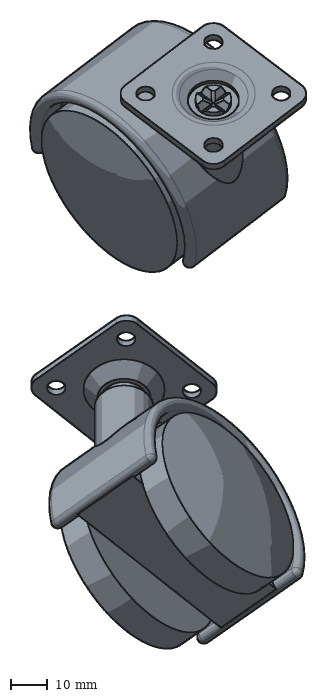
import cadquery as cq


wheel_radius = 26.0
wheel_inner_y = 10.3
wheel_edge_y = 19.0
wheel_outer_y = 23.5

hood_radius = 31.5
hood_wall = 3.65
hood_half_width = wheel_edge_y
hood_bottom_z = -8.6
hood_bottom_rounding = 1.8
web_half_width = wheel_inner_y

swivel_x = 20.95
boss_radius = 8.0
boss_top_z = 33.0
boss_bottom_z = 0.0

plate_side = 38.0
plate_thickness = 2.2
plate_corner_radius = 4.15
plate_top_z = 42.45
screw_hole_diameter = 5.0
screw_hole_spacing = 26.0

dish_slope_top_radius = 10.15
dish_mouth_rounding = 3.0
dish_floor_radius = 6.9
dish_floor_z = 38.75
dish_wall_top_z = 39.75
dish_bottom_radius = 7.3
dish_bottom_z = 36.5

pin_head_radius = 4.85
pin_top_z = 40.25
collar_radius = 6.6
collar_bottom_z = 33.5
collar_bulge = 0.5
stem_radius = 4.2
stem_depth = 21.45

groove_half_width = 1.65
groove_depth = 1.65
pyramid_half_width = 2.85
pyramid_depth = 2.0


def disc(radius, bottom_z, top_z):
    """Upright cylinder on the swivel axis."""
    return (
        cq.Workplane("XY", origin=(swivel_x, 0, bottom_z))
        .circle(radius)
        .extrude(top_z - bottom_z)
    )


def wheel_disc(radius, half_width):
    """Cylinder on the wheel axis, centred on Y = 0."""
    return cq.Workplane("XZ").circle(radius).extrude(half_width, both=True)


def make_wheel(side):
    """Wheel with a domed outer face; side is -1 for -Y and +1 for +Y."""
    dome_height = wheel_outer_y - wheel_edge_y
    dome_radius = (wheel_radius**2 + dome_height**2) / (2 * dome_height)
    half_chord = wheel_radius / 2
    mid_y = wheel_outer_y - dome_radius + (dome_radius**2 - half_chord**2) ** 0.5
    return (
        cq.Workplane("XY")
        .moveTo(0, side * wheel_inner_y)
        .lineTo(wheel_radius, side * wheel_inner_y)
        .lineTo(wheel_radius, side * wheel_edge_y)
        .threePointArc((half_chord, side * mid_y), (0, side * wheel_outer_y))
        .close()
        .revolve(360, (0, 0, 0), (0, 1, 0))
    )


def make_housing():
    """Round-edged hood over both wheels, web between them, and boss for the pin."""
    inner_radius = hood_radius - hood_wall
    middle_radius = hood_radius - hood_wall / 2
    straight_y = hood_half_width - hood_wall / 2
    hood = (
        cq.Workplane("XY")
        .moveTo(inner_radius, -straight_y)
        .threePointArc((middle_radius, -hood_half_width), (hood_radius, -straight_y))
        .lineTo(hood_radius, straight_y)
        .threePointArc((middle_radius, hood_half_width), (inner_radius, straight_y))
        .close()
        .revolve(360, (0, 0, 0), (0, 1, 0))
    )
    above_bottom = (
        cq.Workplane("XY", origin=(0, 0, hood_bottom_z))
        .rect(2 * hood_radius, 2 * hood_half_width)
        .extrude(2 * hood_radius)
    )
    hood = hood.intersect(above_bottom)
    hood = hood.faces("<Z").edges().fillet(hood_bottom_rounding)
    web = wheel_disc(middle_radius, web_half_width).intersect(above_bottom)
    boss = disc(boss_radius, boss_bottom_z, boss_top_z)
    stem_hole = disc(stem_radius, boss_top_z - stem_depth, boss_top_z)
    return hood.union(web).union(boss).cut(stem_hole)


def make_plate():
    """Square plate with a pressed dish, four screw holes and a hole for the pin head."""
    plate_bottom_z = plate_top_z - plate_thickness
    plate = (
        cq.Workplane("XY", origin=(swivel_x, 0, plate_bottom_z))
        .rect(plate_side, plate_side)
        .extrude(plate_thickness)
        .edges("|Z")
        .fillet(plate_corner_radius)
    )
    cone_height = plate_bottom_z - dish_bottom_z
    cone = cq.Solid.makeCone(
        dish_bottom_radius,
        dish_bottom_radius + cone_height,
        cone_height,
        cq.Vector(swivel_x, 0, dish_bottom_z),
    )
    slope_rise = plate_top_z - dish_wall_top_z
    hollow = disc(dish_floor_radius, dish_floor_z, dish_wall_top_z).union(
        cq.Workplane(
            cq.Solid.makeCone(
                dish_floor_radius,
                dish_slope_top_radius,
                slope_rise,
                cq.Vector(swivel_x, 0, dish_wall_top_z),
            )
        )
    )
    screw_holes = (
        cq.Workplane("XY", origin=(swivel_x, 0, plate_bottom_z))
        .rect(screw_hole_spacing, screw_hole_spacing, forConstruction=True)
        .vertices()
        .circle(screw_hole_diameter / 2)
        .extrude(plate_thickness)
    )
    plate = plate.union(cq.Workplane(cone)).cut(hollow).cut(screw_holes)
    mouth = cq.selectors.RadiusNthSelector(-1)
    plate = plate.faces(">Z").edges(mouth).fillet(dish_mouth_rounding)
    return plate.cut(disc(pin_head_radius, dish_bottom_z, dish_floor_z))


def v_groove(half_width, depth, angle):
    """V-shaped cutter across the top of the pin, turned by angle about the swivel axis."""
    length = 4 * pin_head_radius
    return (
        cq.Workplane("XZ", origin=(0, length / 2, 0))
        .polyline([(-half_width, 0), (half_width, 0), (0, -depth)])
        .close()
        .extrude(length)
        .rotate((0, 0, 0), (0, 0, 1), angle)
        .translate((swivel_x, 0, pin_top_z))
    )


def make_pin():
    """Swivel pin: stem, rounded collar, and a head with a cross recess."""
    collar_edge_radius = collar_radius - collar_bulge
    collar = (
        cq.Workplane("XZ")
        .moveTo(0, collar_bottom_z)
        .lineTo(collar_edge_radius, collar_bottom_z)
        .threePointArc(
            (collar_radius, (collar_bottom_z + dish_bottom_z) / 2),
            (collar_edge_radius, dish_bottom_z),
        )
        .lineTo(0, dish_bottom_z)
        .close()
        .revolve(360, (0, 0, 0), (0, 1, 0))
        .translate((swivel_x, 0, 0))
    )
    stem = disc(stem_radius, boss_top_z - stem_depth, collar_bottom_z)
    head = disc(pin_head_radius, dish_bottom_z, pin_top_z)
    pyramid = v_groove(pyramid_half_width, pyramid_depth, 45).intersect(
        v_groove(pyramid_half_width, pyramid_depth, -45)
    )
    pin = stem.union(collar).union(head).cut(pyramid)
    for angle in (0, 90):
        pin = pin.cut(v_groove(groove_half_width, groove_depth, angle))
    return pin


housing = make_housing()
plate = make_plate()
pin = make_pin()
wheels = [make_wheel(side) for side in (-1, 1)]

result = cq.Compound.makeCompound(
    [housing.val(), plate.val(), pin.val(), *(wheel.val() for wheel in wheels)]
)